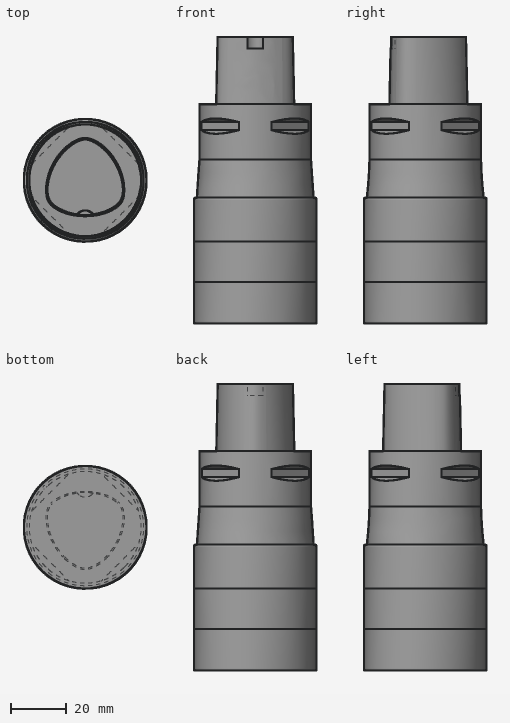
import cadquery as cq
import math

LOWER_TOP = 15.0
MIDDLE_TOP = 29.3
SHOULDER_Z = 45.1
FLANGE_BOTTOM = 58.7
FLANGE_TOP = 78.6
TOTAL_HEIGHT = 102.6

BODY_RADIUS = 44.0 / 2
FLANGE_RADIUS = 40.0 / 2
NECK_BASE_RADIUS = 20.9
SHOULDER_FILLET = 0.9
BOTTOM_FILLET = 0.6

SHANK_BASE_WIDTH = 28.0
SHANK_TOP_WIDTH = 27.0
LOBE_HEIGHT = 1.1
LOBE_COUNT = 3
FACE_COUNT = 2 * LOBE_COUNT

KEYWAY_RADIUS = 3.4
KEYWAY_CENTER_Y = -14.2
KEYWAY_DEPTH = 4.1

GROOVE_COUNT = 4
GROOVE_Z = 70.7
GROOVE_FLOOR_HEIGHT = 2.8
GROOVE_FLOOR_DISTANCE = 17.6
GROOVE_WALL_ANGLE = 30


def disc(bottom, top):
    """Plain cylinder of the body diameter between two heights."""
    return cq.Workplane("XY").workplane(offset=bottom).circle(BODY_RADIUS).extrude(top - bottom)


def make_lower_ring():
    return disc(0, LOWER_TOP).faces("<Z").edges().fillet(BOTTOM_FILLET)


def make_middle_ring():
    return disc(LOWER_TOP, MIDDLE_TOP)


def make_neck_body():
    """Upper cylinder with a rounded shoulder and a conical neck up to the flange."""
    base = disc(MIDDLE_TOP, SHOULDER_Z).faces(">Z").edges().fillet(SHOULDER_FILLET)
    neck = (
        cq.Workplane("XZ")
        .moveTo(0, SHOULDER_Z)
        .lineTo(NECK_BASE_RADIUS, SHOULDER_Z)
        .lineTo(FLANGE_RADIUS, FLANGE_BOTTOM)
        .lineTo(0, FLANGE_BOTTOM)
        .close()
        .revolve(360, (0, 0, 0), (0, 1, 0))
    )
    return base.union(neck)


def shank_point(width, normal_angle, z):
    """Point of the lobed outline where its outward normal has the given angle; one lobe is at +Y."""
    phase = LOBE_COUNT * (normal_angle - math.pi / 2)
    support = width / 2 + LOBE_HEIGHT * math.cos(phase)
    slope = -LOBE_COUNT * LOBE_HEIGHT * math.sin(phase)
    x = support * math.cos(normal_angle) - slope * math.sin(normal_angle)
    y = support * math.sin(normal_angle) + slope * math.cos(normal_angle)
    return cq.Vector(x, y, z)


def shank_outline(width, z):
    """Closed outline of alternating lobe and flank curves."""
    points_per_face = 9
    face_angle = 2 * math.pi / FACE_COUNT
    edges = []
    for face in range(FACE_COUNT):
        angles = [face_angle * (face + i / (points_per_face - 1)) for i in range(points_per_face)]
        edges.append(cq.Edge.makeSpline([shank_point(width, a, z) for a in angles]))
    return cq.Wire.assembleEdges(edges)


def make_keyway():
    return (
        cq.Workplane("XY").workplane(offset=TOTAL_HEIGHT - KEYWAY_DEPTH)
        .center(0, KEYWAY_CENTER_Y).circle(KEYWAY_RADIUS).extrude(KEYWAY_DEPTH)
    )


def make_groove(angle):
    """Straight groove with sloping walls, cut across the flange at the given angle."""
    depth = BODY_RADIUS - GROOVE_FLOOR_DISTANCE
    floor_half = GROOVE_FLOOR_HEIGHT / 2
    mouth_half = floor_half + depth * math.tan(math.radians(GROOVE_WALL_ANGLE))
    return (
        cq.Workplane("XZ")
        .polyline([
            (GROOVE_FLOOR_DISTANCE, GROOVE_Z - floor_half),
            (BODY_RADIUS, GROOVE_Z - mouth_half),
            (BODY_RADIUS, GROOVE_Z + mouth_half),
            (GROOVE_FLOOR_DISTANCE, GROOVE_Z + floor_half),
        ])
        .close()
        .extrude(FLANGE_RADIUS, both=True)
        .rotate((0, 0, 0), (0, 0, 1), angle)
    )


def make_shank():
    """Flange with gripper grooves, carrying the lobed taper."""
    flange = (
        cq.Workplane("XY").workplane(offset=FLANGE_BOTTOM)
        .circle(FLANGE_RADIUS).extrude(FLANGE_TOP - FLANGE_BOTTOM)
    )
    groove_pitch = 360 / GROOVE_COUNT
    for index in range(GROOVE_COUNT):
        flange = flange.cut(make_groove((index + 0.5) * groove_pitch))
    taper = cq.Solid.makeLoft(
        [shank_outline(SHANK_BASE_WIDTH, FLANGE_TOP), shank_outline(SHANK_TOP_WIDTH, TOTAL_HEIGHT)],
        True,
    )
    return flange.union(cq.Workplane(taper)).cut(make_keyway())


lower_ring = make_lower_ring()
middle_ring = make_middle_ring()
neck_body = make_neck_body()
shank = make_shank()

result = cq.Compound.makeCompound([lower_ring.val(), middle_ring.val(), neck_body.val(), shank.val()])